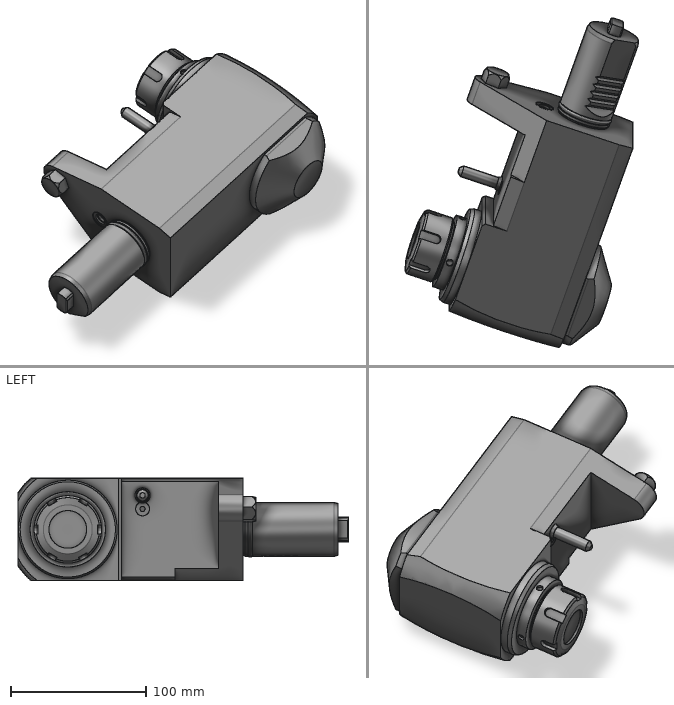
import cadquery as cq
import math


total_length = 245.0
body_height = 76.0
body_length = 166.8
body_right = 39.2
head_left = -47.0
wall_left = -39.0
slope_start = 28.5

head_front = 90.2
head_edge_chamfer = 2.0
spindle_to_back = 37.0
spindle_y = body_length - spindle_to_back

barrel_y = 124.7
barrel_apex_radius = 50.0
barrel_end_radius = 47.0

lug_x, lug_z, lug_radius = -73.3, 15.0, 11.3
lug_thickness = 18.4
lug_web_length = 50.5

bolt_x, bolt_z = -69.8, 15.0
bolt_corner_radius = 10.0
bolt_face_radius = 8.5
bolt_height = 9.5
bolt_chamfer_height = 3.0
bolt_turn = -10.0

flange_radius = 36.5
flange_left = -55.4
flange_chamfer = 3.0
flange_rim_radius = 35.3
ring_radius = 28.0
ring_left = -63.2
ring_hole_count = 4
ring_hole_radius = 2.5
ring_hole_depth = 2.0
ring_hole_point = 1.5
neck_radius = 22.3

nut_left, nut_right = -87.7, -64.7
nut_radius = 25.0
nut_face_radius = 18.1
nut_cone_length, nut_cone_radius = 1.5, 23.5
nut_rim_length = 3.0
nut_back_chamfer = 1.2
nut_bore_radius = 14.0
nut_bore_depth = 2.0
nut_slot_count = 6
nut_slot_width = 6.9
nut_slot_floor_radius = 22.0
nut_slot_end = -70.8
nut_side_slot_end = -74.5

cap_radius = 40.2
cap_cylinder_end = 45.3
cap_right = 62.0
cap_end_radius = 16.0
cap_back_y = 161.7
cap_half_height = 32.8
cap_flat_end = 41.5

shank_radius = 20.0
shank_end = 70.3
shank_relief_radius, shank_relief_length = 19.4, 1.2
shank_chamfer_length, shank_chamfer_depth = 3.2, 1.0
seal_groove_start, seal_groove_end = 3.5, 7.0
seal_groove_radius = 19.0
seal_ring_radius = 20.5
seal_section_radius = 1.7

tooth_turn = -59.0
tooth_crest_distance = 17.0
tooth_valley_distance = 15.2
tooth_pitch = 6.0
tooth_count = 5
first_valley = 15.2

tang_radius = 9.3
tang_width = 10.3
tang_side_chamfer = 1.2
tang_end_chamfer = 0.7

pin_y, pin_z = 74.5, 25.2
pin_radius = 4.2
pin_left = -71.5
pin_tip_length, pin_tip_radius = 2.7, 2.0
pin_collar_length = 2.7
pin_collar_radius, pin_foot_radius = 4.7, 5.6

screw_z = 15.2
screw_radius = 5.1
screw_sink = 0.2
screw_socket_diameter = 4.2
screw_socket_depth = 2.0

port_x = -30.0
port_steps = ((6.9, 0.7), (4.5, 2.5), (3.7, 5.0))

half_height = body_height / 2
overlap = 2.5


def block(x0, x1, y0, y1, z0, z1):
    return cq.Workplane("XY").box(x1 - x0, y1 - y0, z1 - z0, centered=False).translate((x0, y0, z0))


def turned_along_x(profile, y, z=0.0):
    """Solid of revolution about a line parallel to X; profile holds (x, radius) points."""
    points = [(profile[0][0], 0)] + list(profile) + [(profile[-1][0], 0)]
    solid = cq.Workplane("XY").polyline(points).close().revolve(360, (0, 0), (1, 0))
    return solid.translate((0, y, z))


def turned_along_y(profile, x=0.0, z=0.0):
    """Solid of revolution about a line parallel to Y; profile holds (radius, y) points."""
    points = [(0, profile[0][1])] + list(profile) + [(0, profile[-1][1])]
    solid = cq.Workplane("XY").polyline(points).close().revolve(360, (0, 0), (0, 1))
    return solid.translate((x, 0, z))


def front_plate(sketch, y0, y1):
    """Extrude an outline drawn in X and Z from y0 to y1."""
    return sketch.extrude(-(y1 - y0)).translate((0, y0, 0))


def lug_tangent(x, z, side):
    """Angle on the lug circle where the line from (x, z) touches it."""
    dx, dz = x - lug_x, z - lug_z
    return math.atan2(dz, dx) + side * math.acos(lug_radius / math.hypot(dx, dz))


def lug_point(angle):
    return lug_x + lug_radius * math.cos(angle), lug_z + lug_radius * math.sin(angle)


lug_upper = lug_tangent(-slope_start, half_height, 1)
lug_lower = lug_tangent(-slope_start, -half_height, -1)
slope = -1 / math.tan(lug_upper)
slope_edge_z = half_height - (body_right - slope_start) * slope


def right_side_outline():
    """Open outline around the right side, from bottom left to top left, with sloped edges."""
    return (
        cq.Workplane("XZ")
        .moveTo(-slope_start, -half_height)
        .lineTo(slope_start, -half_height)
        .lineTo(body_right, -slope_edge_z)
        .lineTo(body_right, slope_edge_z)
        .lineTo(slope_start, half_height)
        .lineTo(-slope_start, half_height)
    )


def make_lug_section():
    lug_middle = (lug_upper + lug_lower + 2 * math.pi) / 2
    outline = (
        right_side_outline()
        .lineTo(*lug_point(lug_upper))
        .threePointArc(lug_point(lug_middle), lug_point(lug_lower))
        .close()
    )
    section = front_plate(outline, 0, lug_web_length)
    clearance = block(2 * lug_x, wall_left, lug_thickness, lug_web_length, -half_height, half_height)
    return section.cut(clearance)


def make_wall_section():
    wall_edge_z = half_height - (-slope_start - wall_left) * slope
    outline = right_side_outline().lineTo(wall_left, wall_edge_z).lineTo(wall_left, -wall_edge_z).close()
    return front_plate(outline, lug_web_length, head_front)


def make_head():
    outline = right_side_outline().lineTo(head_left, half_height).lineTo(head_left, -half_height).close()
    head = front_plate(outline, head_front, body_length)
    head = head.faces("<X").edges("<Y").chamfer(head_edge_chamfer)

    barrel_apex_x = (head_left + body_right) / 2
    barrel = (
        cq.Workplane("XY")
        .moveTo(head_left, 0)
        .lineTo(head_left, barrel_end_radius)
        .threePointArc((barrel_apex_x, barrel_apex_radius), (body_right, barrel_end_radius))
        .lineTo(body_right, 0)
        .close()
        .revolve(360, (0, 0), (1, 0))
        .translate((0, barrel_y, 0))
    )
    square_front = block(head_left, body_right, head_front, barrel_y, -half_height, half_height)
    return head.intersect(barrel.union(square_front))


def cut_port(body):
    for radius, depth in port_steps:
        body = body.cut(turned_along_y([(radius, -overlap), (radius, depth)], port_x))
    return body


def make_bolt():
    hexagon = (
        cq.Workplane("XZ")
        .polygon(6, 2 * bolt_corner_radius)
        .extrude(bolt_height + overlap)
        .rotate((0, 0, 0), (0, 1, 0), -bolt_turn)
        .translate((bolt_x, overlap, bolt_z))
    )
    crown = turned_along_y(
        [
            (bolt_face_radius, -bolt_height),
            (bolt_corner_radius, bolt_chamfer_height - bolt_height),
            (bolt_corner_radius, overlap),
        ],
        bolt_x,
        bolt_z,
    )
    return hexagon.intersect(crown)


def make_nut_slot(slot_end):
    """Round-ended slot on the +Z side of the nut, open at the nut face."""
    slot_start = nut_left - overlap
    slot_arc_center = slot_end - nut_slot_width / 2
    return (
        cq.Workplane("XY", origin=(0, 0, nut_slot_floor_radius))
        .moveTo(slot_start, -nut_slot_width / 2)
        .lineTo(slot_arc_center, -nut_slot_width / 2)
        .threePointArc((slot_end, 0), (slot_arc_center, nut_slot_width / 2))
        .lineTo(slot_start, nut_slot_width / 2)
        .close()
        .extrude(nut_radius)
    )


def make_spindle():
    spindle = turned_along_x(
        [
            (nut_left, nut_face_radius),
            (nut_left + nut_cone_length, nut_cone_radius),
            (nut_left + nut_rim_length, nut_radius),
            (nut_right - nut_back_chamfer, nut_radius),
            (nut_right, nut_radius - nut_back_chamfer),
            (nut_right, neck_radius),
            (ring_left, neck_radius),
            (ring_left, ring_radius),
            (flange_left, ring_radius),
            (flange_left, flange_rim_radius),
            (flange_left + flange_chamfer, flange_radius),
            (head_left, flange_radius),
            (head_left, ring_radius),
            (head_left + overlap, ring_radius),
        ],
        spindle_y,
    )
    bore_floor = nut_left + nut_bore_depth
    bore = turned_along_x([(nut_left - overlap, nut_bore_radius), (bore_floor, nut_bore_radius)], spindle_y)
    spindle = spindle.cut(bore)

    for i in range(nut_slot_count):
        angle = (i + 0.5) * 360 / nut_slot_count
        faces_sideways = angle % 180 == 90
        slot = make_nut_slot(nut_side_slot_end if faces_sideways else nut_slot_end)
        spindle = spindle.cut(slot.rotate((0, 0, 0), (1, 0, 0), angle).translate((0, spindle_y, 0)))

    hole = (
        cq.Workplane("XZ")
        .moveTo(0, ring_radius + overlap)
        .lineTo(ring_hole_radius, ring_radius + overlap)
        .lineTo(ring_hole_radius, ring_radius - ring_hole_depth)
        .lineTo(0, ring_radius - ring_hole_depth - ring_hole_point)
        .close()
        .revolve(360, (0, 0), (0, 1))
        .translate(((ring_left + flange_left) / 2, 0, 0))
    )
    for i in range(ring_hole_count):
        angle = i * 360 / ring_hole_count
        spindle = spindle.cut(hole.rotate((0, 0, 0), (1, 0, 0), angle).translate((0, spindle_y, 0)))
    return spindle


def make_cap():
    cap_left = body_right - overlap
    cone = turned_along_x(
        [(cap_left, cap_radius), (cap_cylinder_end, cap_radius), (cap_right, cap_end_radius)],
        spindle_y,
    )
    end_half_height = cap_half_height - (cap_right - cap_flat_end) * slope
    outline = (
        cq.Workplane("XZ")
        .moveTo(cap_left, -cap_half_height)
        .lineTo(cap_flat_end, -cap_half_height)
        .lineTo(cap_right, -end_half_height)
        .lineTo(cap_right, end_half_height)
        .lineTo(cap_flat_end, cap_half_height)
        .lineTo(cap_left, cap_half_height)
        .close()
    )
    return cone.intersect(front_plate(outline, spindle_y - cap_radius, cap_back_y))


def cut_teeth(shank):
    """Flat to the shank end, crossed by V grooves with 45 degree flanks."""
    v_height = shank_radius - tooth_valley_distance
    cutter = block(
        tooth_crest_distance, 2 * shank_radius, -shank_end, -first_valley, -shank_radius, shank_radius
    )
    for i in range(tooth_count):
        valley_y = -(first_valley + i * tooth_pitch)
        groove = (
            cq.Workplane("XY")
            .polyline(
                [
                    (tooth_valley_distance, valley_y),
                    (shank_radius, valley_y + v_height),
                    (shank_radius, valley_y - v_height),
                ]
            )
            .close()
            .extrude(shank_radius, both=True)
        )
        cutter = cutter.union(groove)
    return shank.cut(cutter.rotate((0, 0, 0), (0, 1, 0), -tooth_turn))


def make_shank():
    shank = turned_along_y(
        [
            (shank_relief_radius, overlap),
            (shank_relief_radius, -shank_relief_length),
            (shank_radius, -shank_relief_length),
            (shank_radius, -seal_groove_start),
            (seal_groove_radius, -seal_groove_start),
            (seal_groove_radius, -seal_groove_end),
            (shank_radius, -seal_groove_end),
            (shank_radius, shank_chamfer_length - shank_end),
            (shank_radius - shank_chamfer_depth, -shank_end),
        ]
    )
    shank = cut_teeth(shank)

    seal_y = -(seal_groove_start + seal_groove_end) / 2
    seal = (
        cq.Workplane("XY")
        .moveTo(seal_ring_radius - seal_section_radius, seal_y)
        .circle(seal_section_radius)
        .revolve(360, (0, 0), (0, 1))
    )

    tang_end = total_length - body_length
    tang = turned_along_y([(tang_radius, -tang_end), (tang_radius, overlap - shank_end)])
    tang = tang.intersect(
        block(-tang_width / 2, tang_width / 2, -tang_end, 0, -tang_radius, tang_radius)
    )
    tang = tang.edges("|Y").chamfer(tang_side_chamfer)
    tang = tang.faces("<Y").edges("|Z").chamfer(tang_end_chamfer)
    return shank.union(seal).union(tang)


def make_pin():
    return turned_along_x(
        [
            (pin_left, pin_tip_radius),
            (pin_left + pin_tip_length, pin_radius),
            (wall_left - pin_collar_length, pin_radius),
            (wall_left - pin_collar_length, pin_collar_radius),
            (wall_left, pin_foot_radius),
            (wall_left + overlap, pin_radius),
        ],
        pin_y,
        pin_z,
    )


def cut_set_screw(body):
    sink = turned_along_x(
        [(wall_left - overlap, screw_radius), (wall_left + screw_sink, screw_radius)], pin_y, screw_z
    )
    socket = (
        cq.Workplane("YZ", origin=(wall_left, pin_y, screw_z))
        .polygon(6, screw_socket_diameter)
        .extrude(screw_socket_depth)
    )
    return body.cut(sink).cut(socket)


body = make_lug_section().union(make_wall_section()).union(make_head())
body = cut_set_screw(cut_port(body))
result = body
for piece in (make_bolt(), make_spindle(), make_cap(), make_shank(), make_pin()):
    result = result.union(piece)